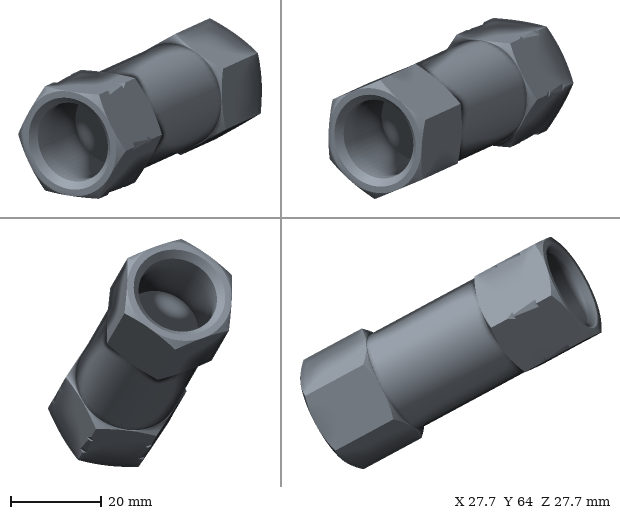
import cadquery as cq
import math

length = 64.0
across_flats = 24.0
front_hex_length = 18.0
rear_hex_length = 17.5
rear_hex_twist = 3.0
barrel_diameter = 23.7
corner_chamfer_angle = 30.0

bore_diameter = 18.0
mouth_diameter = 21.0
mouth_depth = (mouth_diameter - bore_diameter) / 2
bore_depth = front_hex_length

arrow_width = 1.8
arrow_tail = 5.0
arrow_head_base = 11.0
arrow_tip = 12.75
arrow_shaft_apex = 13.0

hex_sides = 6
front_y = -length / 2
rear_y = length / 2
flat_radius = across_flats / 2
corner_radius = flat_radius / math.cos(math.pi / hex_sides)
corner_chamfer = (corner_radius - flat_radius) * math.tan(math.radians(corner_chamfer_angle))


def plane_at(y):
    """Work plane facing +Y whose local x axis is the part's X."""
    return cq.Workplane(cq.Plane(origin=(0, y, 0), xDir=(1, 0, 0), normal=(0, 1, 0)))


def turn_about_y(solid, angle):
    return solid.rotate((0, 0, 0), (0, 1, 0), angle)


def hexagon(start_y, hex_length):
    """Hexagonal nut with corners on the X axis and conically trimmed ends."""
    end_y = start_y + hex_length
    prism = plane_at(start_y).polygon(hex_sides, 2 * corner_radius).extrude(hex_length)
    trim = (
        cq.Workplane("XY")
        .polyline([
            (0, start_y),
            (flat_radius, start_y),
            (corner_radius, start_y + corner_chamfer),
            (corner_radius, end_y - corner_chamfer),
            (flat_radius, end_y),
            (0, end_y),
        ])
        .close()
        .revolve(360, (0, 0, 0), (0, 1, 0))
    )
    return prism.intersect(trim)


def bore():
    """Socket sunk into the -Y end face."""
    straight = plane_at(front_y).circle(bore_diameter / 2).extrude(bore_depth)
    mouth = cq.Workplane(
        cq.Solid.makeCone(
            mouth_diameter / 2, bore_diameter / 2, mouth_depth,
            cq.Vector(0, front_y, 0), cq.Vector(0, 1, 0),
        )
    )
    return straight.union(mouth)


def corner_notch(wide_distance, apex_distance, end_distance):
    """Flat cut across the +X corner, tapering towards an apex; cut off at end_distance from the front."""
    wide_depth = arrow_width / 2 * math.tan(math.pi / hex_sides)
    tapered = (
        cq.Workplane("XY")
        .polyline([
            (corner_radius - wide_depth, front_y + wide_distance),
            (corner_radius, front_y + wide_distance),
            (corner_radius, front_y + apex_distance),
        ])
        .close()
        .extrude(arrow_width, both=True)
    )
    limit = plane_at(front_y).circle(2 * corner_radius).extrude(end_distance)
    return tapered.intersect(limit)


front_hex = hexagon(front_y, front_hex_length)
arrow_shaft = corner_notch(arrow_tail, arrow_shaft_apex, arrow_head_base)
arrow_head = corner_notch(arrow_head_base, arrow_tip, arrow_tip)
for corner in range(hex_sides):
    corner_angle = corner * 360 / hex_sides
    front_hex = front_hex.cut(turn_about_y(arrow_shaft, corner_angle))
    front_hex = front_hex.cut(turn_about_y(arrow_head, corner_angle))

rear_hex = turn_about_y(hexagon(rear_y - rear_hex_length, rear_hex_length), 90 - rear_hex_twist)
barrel = plane_at(front_y).circle(barrel_diameter / 2).extrude(length)

front_bore = bore()
rear_bore = front_bore.mirror("XZ")

result = front_hex.union(barrel).union(rear_hex).cut(front_bore).cut(rear_bore)